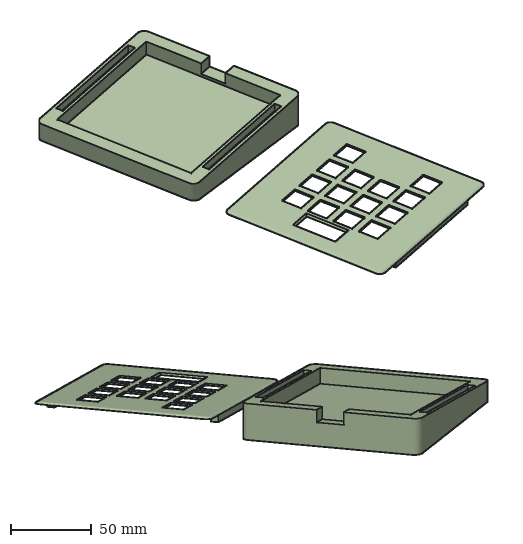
import cadquery as cq
import math

total_length = 257.5

body_width = 119.0
body_depth = 117.1
corner_radius = 5.0

housing_height = 23.2
bottom_slope = 5.0
pocket_width = 100.0
pocket_length = 98.3
pocket_depth = 10.0

notch_width = 18.0
notch_depth = 8.0

tab_width = 5.0
tab_length = 79.5
tab_height = 5.7
tab_offset = 54.5
slot_depth = tab_height

cover_thickness = 1.3
edge_radius = 3.0
cover_bottom = 10.5
rim_inset = edge_radius - math.sqrt(edge_radius**2 - (edge_radius - cover_thickness) ** 2)
cover_x = total_length - body_width + rim_inset

key_size = 14.2
key_pitch = 19.0
key_columns = 4
key_rows = 4
keys_x = 0.5
keys_y = 7.0

window_top_width = 31.7
window_top_height = 14.5
window_bevel = cover_thickness
window_y = -38.5


def box_on(bottom, width, depth, height, x=0, y=0):
    """Box centred on x and y that stands on the level `bottom`."""
    return cq.Workplane("XY", origin=(x, y, bottom)).box(width, depth, height, (True, True, False))


def rounded_block(bottom, height):
    return box_on(bottom, body_width, body_depth, height).edges("|Z").fillet(corner_radius)


def tab_boxes(bottom, height):
    """The pair of long bars that make either the tabs or the slots."""
    return [box_on(bottom, tab_width, tab_length, height, side * tab_offset) for side in (-1, 1)]


def make_bottom_wedge():
    """Material below the sloping bottom of the housing."""
    back = body_depth / 2
    front = -body_depth / 2
    rise = body_depth * math.tan(math.radians(bottom_slope))
    profile = cq.Workplane("YZ").polyline([(back, 0), (front, 0), (front, rise)]).close()
    return profile.extrude(body_width / 2, both=True)


def make_housing():
    body = rounded_block(0, housing_height).cut(make_bottom_wedge())

    pocket_floor = housing_height - pocket_depth
    body = body.cut(box_on(pocket_floor, pocket_width, pocket_length, pocket_depth))

    notch_length = body_depth / 2
    notch_floor = housing_height - notch_depth
    body = body.cut(box_on(notch_floor, notch_width, notch_length, notch_depth, y=notch_length / 2))

    for slot in tab_boxes(housing_height - slot_depth, slot_depth):
        body = body.cut(slot)
    return body


def make_cover_plate():
    """Rounded plate with its underside on Z = 0."""
    block_height = 2 * edge_radius
    block = rounded_block(cover_thickness - block_height, block_height)
    block = block.faces(">Z").edges().fillet(edge_radius)
    return block.intersect(box_on(0, body_width, body_depth, cover_thickness))


def key_positions():
    """Middles of the keys; the back row has only its two outer keys."""
    positions = []
    for row in range(key_rows):
        is_back_row = row == key_rows - 1
        for column in range(key_columns):
            is_outer = column in (0, key_columns - 1)
            if is_back_row and not is_outer:
                continue
            x = keys_x + (column - (key_columns - 1) / 2) * key_pitch
            y = keys_y + (row - (key_rows - 1) / 2) * key_pitch
            positions.append((x, y))
    return positions


def make_window():
    return (
        cq.Workplane("XY", origin=(keys_x, window_y, 0))
        .rect(window_top_width - 2 * window_bevel, window_top_height - 2 * window_bevel)
        .workplane(offset=cover_thickness)
        .rect(window_top_width, window_top_height)
        .loft(combine=False)
    )


def make_cover():
    cover = make_cover_plate()
    for tab in tab_boxes(-tab_height, tab_height):
        cover = cover.union(tab)
    for x, y in key_positions():
        cover = cover.cut(box_on(0, key_size, key_size, cover_thickness, x, y))
    cover = cover.cut(make_window())
    return cover.translate((cover_x, 0, cover_bottom))


housing = make_housing()
cover = make_cover()
result = cq.Compound.makeCompound([housing.val(), cover.val()])